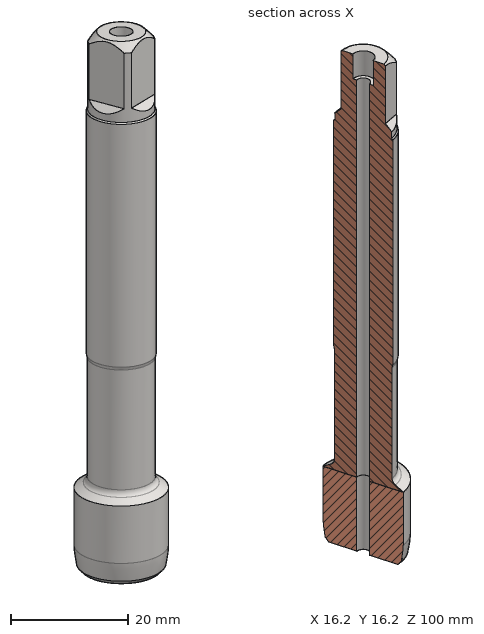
import cadquery as cq
import math

total_length = 100.0
head_length = 15.0
shank_bottom = 39.4
shank_step = 0.6
shank_top = 85.3

head_diameter = 16.2
neck_diameter = 11.7
shank_diameter = 12.0
drive_diameter = 11.5

square_width = 9.0
square_bottom = 88.1
drive_top_diameter = 8.4
drive_bevel = (drive_diameter - drive_top_diameter) / 2

shoulder_fillet = 1.3
shoulder_angle = math.radians(30)

lead_top = 4.3
lead_bottom = 0.8
lead_radius = 15.0
tip_diameter = 13.9

bore_diameter = 2.5
counterbore_diameter = 4.0
counterbore_depth = 5.0


def revolve_profile(profile):
    """Turn a half profile (radius, height) around the Z axis."""
    return profile.close().revolve(360, (0, 0, 0), (0, 1, 0))


def drill_bore(body):
    bore = cq.Workplane("XY").circle(bore_diameter / 2).extrude(total_length)
    return body.cut(bore)


def make_head():
    """Cylindrical head with a rounded lead and a beveled tip."""
    radius = head_diameter / 2

    def lead_point(z):
        """Point on the lead arc at height z."""
        inset = lead_radius - math.sqrt(lead_radius**2 - (lead_top - z) ** 2)
        return (radius - inset, z)

    head = revolve_profile(
        cq.Workplane("XZ")
        .lineTo(tip_diameter / 2, 0)
        .lineTo(*lead_point(lead_bottom))
        .threePointArc(lead_point((lead_top + lead_bottom) / 2), (radius, lead_top))
        .lineTo(radius, head_length)
        .lineTo(0, head_length)
    )
    return drill_bore(head)


def turned_shank():
    """Shoulder, neck, shank and round drive end in one revolved profile."""
    neck_radius = neck_diameter / 2
    shank_radius = shank_diameter / 2
    drive_radius = drive_diameter / 2
    turn = math.pi / 2 - shoulder_angle
    fillet_foot_radius = neck_radius + shoulder_fillet * (1 - math.cos(turn))
    fillet_foot_z = head_length + (head_diameter / 2 - fillet_foot_radius) * math.tan(shoulder_angle)
    fillet_center_z = fillet_foot_z + shoulder_fillet * math.sin(turn)
    fillet_middle = (
        neck_radius + shoulder_fillet * (1 - math.cos(turn / 2)),
        fillet_center_z - shoulder_fillet * math.sin(turn / 2),
    )
    return revolve_profile(
        cq.Workplane("XZ")
        .moveTo(0, head_length)
        .lineTo(head_diameter / 2, head_length)
        .lineTo(fillet_foot_radius, fillet_foot_z)
        .threePointArc(fillet_middle, (neck_radius, fillet_center_z))
        .lineTo(neck_radius, shank_bottom)
        .lineTo(shank_radius, shank_bottom + shank_step)
        .lineTo(shank_radius, shank_top)
        .lineTo(drive_radius, shank_top + shank_radius - drive_radius)
        .lineTo(drive_radius, total_length - drive_bevel)
        .lineTo(drive_top_diameter / 2, total_length)
        .lineTo(0, total_length)
    )


def flat_cutter():
    """Material outside one flat, with a 45 degree run-out at its lower end."""
    inner = square_width / 2
    outer = shank_diameter
    return (
        cq.Workplane("XZ")
        .moveTo(inner, square_bottom)
        .lineTo(outer, square_bottom - (outer - inner))
        .lineTo(outer, total_length)
        .lineTo(inner, total_length)
        .close()
        .extrude(shank_diameter / 2, both=True)
    )


def make_shank():
    shank = turned_shank()
    for side in range(4):
        shank = shank.cut(flat_cutter().rotate((0, 0, 0), (0, 0, 1), 90 * side))
    counterbore = (
        cq.Workplane("XY", origin=(0, 0, total_length - counterbore_depth))
        .circle(counterbore_diameter / 2)
        .extrude(counterbore_depth)
    )
    return drill_bore(shank.cut(counterbore))


head = make_head()
shank = make_shank()
result = cq.Compound.makeCompound([head.val(), shank.val()])